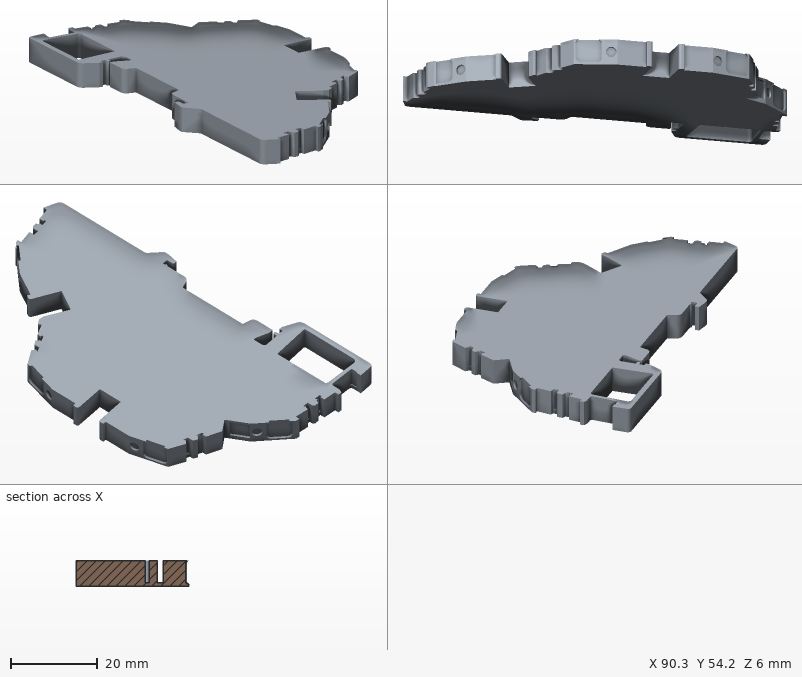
import cadquery as cq
import math

THICKNESS = 6.0
LEFT_END = -40.2
RIGHT_END = 50.1
HORN_TOP = 54.19

SLOT_HALF_WIDTH = 3.13
SLOT_DEPTH = 7.07
HORN_HEIGHT = 0.86
HORN_OUTER = 4.55
HORN_INNER_ROUND = 0.6
HORN_OUTER_ROUND = 0.2
TOP_EDGE = HORN_TOP - HORN_HEIGHT
TILTED_SLOT_CENTRE = (27.2, 29.6)
TILTED_SLOT_ANGLE = 30.0

TOP_EDGE_END = (-11.5, TOP_EDGE)
TOP_SLOPE_END = (-21.1, 50.75)

SHOULDER_MIRROR = 9.9
SHOULDER_DROP = 1.95
SHOULDER_TOP = (-25.1, 35.3)
LEFT_SLOPE = [(-30.6, 32.35), (-38.0, 24.95)]
RIGHT_SLOPE = [(40.8, 29.95), (46.4, 24.3)]

BASE = 6.3
RAIL_SEAT = 9.25
ARM_ROOT = 11.45
FOOT_TOP = 4.35
ARM_TOP = (-36.85, 10.9)
ARM_FOOT = (-37.2, FOOT_TOP)

GROOVE_FLOOR_Z = 1.0
GROOVE_DEPTH = 0.6
GROOVE_UNDERCUT = 0.35
POCKET_DEPTH = 0.55
WELL_BOTTOM_Z = 0.55
WELL_TOP_Z = 6.1
WELL_CORNER = 1.1
WELL_LENGTH = 6.0
WELL_DISTANCE = 6.6
PORT_DIAMETER = 2.4
PORT_Z = 3.0
PORT_DISTANCE = 1.4
LABEL_POCKET_START = 1.25
LABEL_POCKET_END = 6.0
LABEL_POCKET_Z = (1.1, 5.4)

UPPER_GROOVES = [
    [(-22.5, 46.0), (-22.9, 45.05)],
    [(-23.85, 43.0), (-24.4, 41.75)],
]
LOWER_GROOVES = [
    [(-36.9, 20.05), (-36.95, 18.85)],
    [(-37.4, 16.5), (-37.5, 15.2)],
]

UPPER_FLANK = [
    TOP_EDGE_END,
    (*TOP_SLOPE_END, 0.5),
    (-23.25, 46.8), (-22.45, 46.05), (-22.85, 45.05),
    (-23.8, 45.05), (-24.45, 44.0), (-23.75, 43.3), (-24.25, 42.15), (-25.3, 42.15),
]
LOWER_FLANK = [
    (-38.15, 24.0), (-37.1, 24.0), (-37.7, 20.4), (-36.85, 20.2),
    (-36.95, 18.85), (-37.85, 18.85), (-38.25, 18.4), (-38.3, 17.3),
    (-37.4, 16.95), (-37.45, 15.6), (-38.65, 15.6), (-39.1, 12.3),
]


def mirrored(corners, mirror_sum=0.0, drop=0.0):
    """Mirror corners in X, lower them by drop and reverse their order."""
    return [(mirror_sum - c[0], c[1] - drop, *c[2:]) for c in reversed(corners)]


def slot_frame(across, along, centre, tilt_degrees):
    """Place a point given from the middle of a slot floor; the tilt leans the slot to +X."""
    tilt = math.radians(tilt_degrees)
    x = centre[0] + across * math.cos(tilt) + along * math.sin(tilt)
    y = centre[1] - across * math.sin(tilt) + along * math.cos(tilt)
    return (x, y)


def right_horn(centre, tilt_degrees):
    """Right slot wall and its horn, from the slot floor out to the plate edge."""
    horn_tip = SLOT_DEPTH + HORN_HEIGHT
    local_points = [
        (SLOT_HALF_WIDTH, 0.0),
        (SLOT_HALF_WIDTH, horn_tip, HORN_INNER_ROUND),
        (HORN_OUTER, horn_tip, HORN_OUTER_ROUND),
        (HORN_OUTER, SLOT_DEPTH),
    ]
    return [(*slot_frame(*p[:2], centre, tilt_degrees), *p[2:]) for p in local_points]


def rounded_outline(corners):
    """Closed wire through the corners; a corner (x, y, r) gets a tangent arc of radius r."""
    count = len(corners)
    segments = []
    for i, corner in enumerate(corners):
        here = cq.Vector(*corner[:2])
        if len(corner) == 2:
            segments.append((here,))
            continue
        radius = corner[2]
        to_previous = (cq.Vector(*corners[i - 1][:2]) - here).normalized()
        to_next = (cq.Vector(*corners[(i + 1) % count][:2]) - here).normalized()
        half_angle = to_previous.getAngle(to_next) / 2
        setback = radius / math.tan(half_angle)
        bisector = (to_previous + to_next).normalized()
        middle = here + bisector * (radius / math.sin(half_angle) - radius)
        segments.append((here + to_previous * setback, middle, here + to_next * setback))

    outline = cq.Workplane("XY").moveTo(*segments[0][-1].toTuple()[:2])
    for segment in segments[1:] + segments[:1]:
        outline = outline.lineTo(*segment[0].toTuple()[:2])
        if len(segment) == 3:
            outline = outline.threePointArc(segment[1].toTuple()[:2], segment[2].toTuple()[:2])
    return outline.close()


def left_side():
    """Left edge from the upper flank down to the clip arm."""
    flank_tip = (-27.05, 38.4)
    return [
        *UPPER_FLANK,
        flank_tip,
        SHOULDER_TOP,
        *LEFT_SLOPE,
        *LOWER_FLANK,
        (LEFT_END, 12.3), (LEFT_END, 11.3), (-39.2, ARM_TOP[1]), (*ARM_TOP, 0.5),
    ]


def clip_foot():
    """Sprung foot that hooks the left rail edge, ending at the slit beside it."""
    heel_round = 0.9
    toe_round = 1.75
    slit_left = -17.25
    slit_right = -13.97
    return [
        (*ARM_FOOT, 0.8),
        (LEFT_END, FOOT_TOP), (LEFT_END, 0.0, heel_round),
        (-18.6, 0.0, toe_round), (-16.4, 4.2), (-16.35, 5.05),
        (slit_left, 5.05), (slit_left, 6.25), (-16.6, 6.25), (-16.1, 6.6), (-16.25, 7.1),
        (slit_left, 7.1), (slit_left, ARM_ROOT, 0.8),
        (slit_right, ARM_ROOT), (slit_right, 10.7), (-15.35, 7.4),
    ]


def rail_side():
    """Underside from the slit, over the rail seat and fixed hook, to the right end."""
    return [
        (-15.35, BASE), (-9.65, BASE, 1.5), (-8.8, RAIL_SEAT),
        (9.2, RAIL_SEAT), (10.05, BASE, 1.5),
        (16.3, BASE), (16.45, 6.0), (16.85, 6.0), (17.0, BASE), (17.6, BASE),
        (17.6, 4.9, 0.45), (15.6, 4.9, 0.25), (15.6, 3.8), (18.4, 3.25),
        (19.6, 3.25, 0.7), (22.75, BASE, 1.2),
        (48.3, BASE, 1.5), (RIGHT_END, 10.35),
    ]


def right_side():
    """Right edge from the lower end up to the top plate edge."""
    tilted_slot = list(reversed(right_horn(TILTED_SLOT_CENTRE, TILTED_SLOT_ANGLE)))
    slot_floor_left = slot_frame(-SLOT_HALF_WIDTH, 0.0, TILTED_SLOT_CENTRE, TILTED_SLOT_ANGLE)
    return [
        *mirrored(LOWER_FLANK, SHOULDER_MIRROR, SHOULDER_DROP),
        (47.9, 22.8), (46.85, 24.2),
        *reversed(RIGHT_SLOPE),
        *tilted_slot,
        slot_floor_left,
        (27.85, 36.7), (28.15, 38.1), (27.45, 39.45, 0.2), (26.95, 39.5), (26.55, 39.15),
        *mirrored(UPPER_FLANK),
    ]


def top_slot():
    """Upright slot with its two horns, from right to left."""
    right_half = right_horn((0.0, TOP_EDGE - SLOT_DEPTH), 0.0)
    return [*reversed(right_half), *[(-c[0], *c[1:]) for c in right_half]]


def body():
    """Full outline, taken counterclockwise from the left end of the top edge."""
    corners = left_side() + clip_foot() + rail_side() + right_side() + top_slot()
    return rounded_outline(corners).extrude(THICKNESS)


def window():
    """Opening that frees the clip arm."""
    sill = 1.35
    corners = [
        (-35.8, ARM_ROOT, 0.7), (-36.5, sill, 0.9), (-20.8, sill, 0.4), (-21.05, ARM_ROOT),
    ]
    return rounded_outline(corners).extrude(THICKNESS)


def groove_recesses(grooves, place):
    """Deeper part of each test groove, open at the top face only."""
    cutters = cq.Workplane("XY")
    for upper, lower in grooves:
        upper_back = (upper[0] + GROOVE_DEPTH, upper[1] + GROOVE_UNDERCUT)
        lower_back = (lower[0] + GROOVE_DEPTH, lower[1])
        recess = place([upper, lower, lower_back, upper_back])
        sketch = cq.Workplane("XY").workplane(offset=GROOVE_FLOOR_Z).polyline(recess).close()
        cutters = cutters.add(sketch.extrude(THICKNESS))
    return cutters.combine()


def slope_face(upper, lower, side):
    """Sketch plane on an edge face, origin at its upper end, local Y along +Z.

    Local X runs down the slope on the left (side = 1) and up it on the right (side = -1).
    """
    along = cq.Vector(lower[0] - upper[0], lower[1] - upper[1], 0) * side
    outward = along.cross(cq.Vector(0, 0, 1))
    return cq.Workplane(cq.Plane(origin=(*upper, 0), xDir=along, normal=outward))


def well_and_port(upper, lower, side):
    """Shallow wire-entry well and round screwdriver port sunk in a sloping face."""
    face = slope_face(upper, lower, side)
    well_height = WELL_TOP_Z - WELL_BOTTOM_Z
    well_centre = (side * WELL_DISTANCE, WELL_BOTTOM_Z + well_height / 2)
    well = face.center(*well_centre).rect(WELL_LENGTH, well_height).extrude(-POCKET_DEPTH)
    well = well.edges(cq.selectors.ParallelDirSelector(face.plane.zDir)).fillet(WELL_CORNER)
    port = face.center(side * PORT_DISTANCE, PORT_Z).circle(PORT_DIAMETER / 2).extrude(-POCKET_DEPTH)
    return well.union(port)


def label_pocket():
    """Shallow rectangular pocket in the upper face of the left shoulder."""
    length = LABEL_POCKET_END - LABEL_POCKET_START
    bottom, top = LABEL_POCKET_Z
    face = slope_face(SHOULDER_TOP, LEFT_SLOPE[0], 1)
    face = face.center(LABEL_POCKET_START + length / 2, (bottom + top) / 2)
    return face.rect(length, top - bottom).extrude(-POCKET_DEPTH)


def foot_recess():
    """Square recess at the root of the clip arm, above the filleted lower strip."""
    left = -38.9
    depth = 0.25
    height = 1.0
    arm_lean = (ARM_TOP[0] - ARM_FOOT[0]) / (ARM_TOP[1] - ARM_FOOT[1])
    corners = [
        (left, FOOT_TOP - depth),
        (ARM_FOOT[0] - arm_lean * depth, FOOT_TOP - depth),
        (ARM_FOOT[0] + arm_lean * height, FOOT_TOP + height),
        (left, FOOT_TOP + height),
    ]
    sketch = cq.Workplane("XY").workplane(offset=GROOVE_FLOOR_Z).polyline(corners).close()
    return sketch.extrude(THICKNESS)


def mirror_upper(corners):
    """Carry upper left corners over to the upper right flank."""
    return mirrored(corners)


def mirror_lower(corners):
    """Carry lower left corners over to the dropped right shoulder."""
    return mirrored(corners, SHOULDER_MIRROR, SHOULDER_DROP)


result = body().cut(window()).cut(foot_recess()).cut(label_pocket())

for groove_set, mirror in ((UPPER_GROOVES, mirror_upper), (LOWER_GROOVES, mirror_lower)):
    result = result.cut(groove_recesses(groove_set, list))
    result = result.cut(groove_recesses(groove_set, mirror))

top_slope = [TOP_EDGE_END, TOP_SLOPE_END]
for slope in (top_slope, LEFT_SLOPE):
    result = result.cut(well_and_port(*slope, 1))
for slope in (reversed(mirrored(top_slope)), RIGHT_SLOPE):
    result = result.cut(well_and_port(*slope, -1))